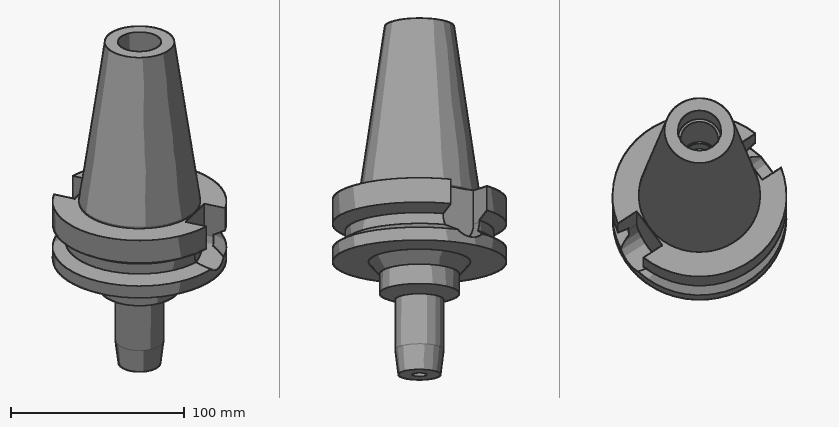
import cadquery as cq

total_height = 206.8
nose_taper_top = 14.9
nose_top = 44.5
collar_bottom = 48.2
collar_top = 59.8
flange_bottom = 67.0
groove_lower_edge = 74.7
groove_floor_bottom = 78.8
groove_floor_top = 85.2
groove_upper_edge = 89.5
flange_top = 104.0
cone_bottom = 105.0

tip_radius = 12.2
nose_radius = 14.0
collar_radius = 23.0
flare_radius = 29.4
flange_radius = 50.0
groove_radius = 42.8
cone_base_radius = 35.0
cone_top_radius = 20.0

socket_radius = 12.5
socket_depth = 13.6
thread_radius = 10.8
thread_depth = 45.5
pilot_radius = 9.7
pilot_depth = 53.8
coolant_hole_radius = 4.1

slot_width = 25.6
slot_floor_x = 35.2
slot_bottom = 71.3


def make_body():
    """Revolve the outer outline about the Z axis."""
    outline = [
        (0, 0),
        (tip_radius, 0),
        (nose_radius, nose_taper_top),
        (nose_radius, nose_top),
        (collar_radius, collar_bottom),
        (collar_radius, collar_top),
        (flare_radius, flange_bottom),
        (flange_radius, flange_bottom),
        (flange_radius, groove_lower_edge),
        (groove_radius, groove_floor_bottom),
        (groove_radius, groove_floor_top),
        (flange_radius, groove_upper_edge),
        (flange_radius, flange_top),
        (cone_base_radius, flange_top),
        (cone_base_radius, cone_bottom),
        (cone_top_radius, total_height),
        (0, total_height),
    ]
    return cq.Workplane("XZ").polyline(outline).close().revolve(360, (0, 0), (0, 1))


def make_bore():
    """Socket, thread bore, pilot bore and through coolant hole as one cutter."""
    socket_floor = total_height - socket_depth
    pilot_floor = total_height - pilot_depth
    thread_floor = total_height - thread_depth
    outline = [
        (0, 0),
        (coolant_hole_radius, 0),
        (coolant_hole_radius, pilot_floor),
        (pilot_radius, pilot_floor),
        (pilot_radius, thread_floor),
        (thread_radius, thread_floor),
        (thread_radius, socket_floor),
        (socket_radius, socket_floor),
        (socket_radius, total_height),
        (0, total_height),
    ]
    return cq.Workplane("XZ").polyline(outline).close().revolve(360, (0, 0), (0, 1))


def make_drive_slot(side):
    """Round-bottomed slot open at the flange top; side is -1 or +1 along X."""
    half_width = slot_width / 2
    arc_center = slot_bottom + half_width
    slot_length = flange_radius - slot_floor_x
    return (
        cq.Workplane("YZ", origin=(side * slot_floor_x, 0, 0))
        .moveTo(-half_width, flange_top)
        .lineTo(-half_width, arc_center)
        .threePointArc((0, slot_bottom), (half_width, arc_center))
        .lineTo(half_width, flange_top)
        .close()
        .extrude(side * slot_length)
    )


result = make_body().cut(make_bore())
for side in (-1, 1):
    result = result.cut(make_drive_slot(side))